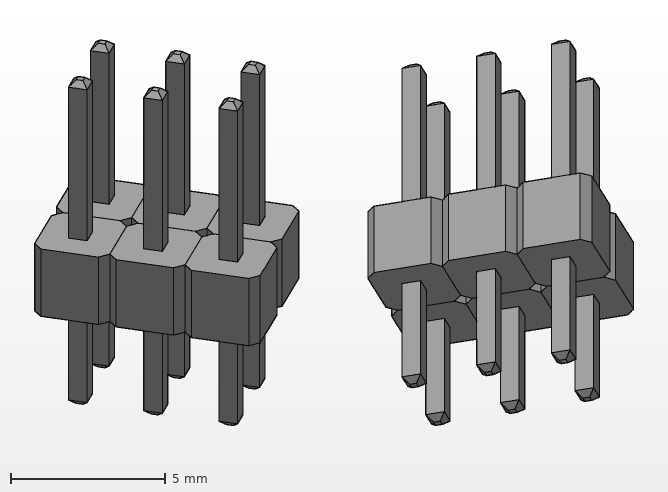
import cadquery as cq

pin_length = 12.0
columns = 3
rows = 2
total_width = 7.62
pitch = total_width / columns

block_height = 2.5
corner_chamfer = 0.3

pin_width = 0.64
pin_below = 3.71
tip_taper = 0.2


def make_block():
    """Square insulator block with chamfered vertical corners, its underside at Z = 0."""
    block = cq.Workplane("XY").rect(pitch, pitch).extrude(block_height)
    return block.edges("|Z").chamfer(corner_chamfer)


def make_pin():
    """Square pin tapered to a small flat at both ends."""
    pin = cq.Workplane("XY", origin=(0, 0, -pin_below)).rect(pin_width, pin_width).extrude(pin_length)
    return pin.faces("<Z or >Z").chamfer(tip_taper)


def make_cell(column, row):
    """One block with its pin, placed in a grid centred on the Z axis."""
    x = (column - (columns - 1) / 2) * pitch
    y = (row - (rows - 1) / 2) * pitch
    return make_block().union(make_pin()).translate((x, y, 0))


cells = [make_cell(column, row) for column in range(columns) for row in range(rows)]

result = cq.Compound.makeCompound([cell.solids().val() for cell in cells])